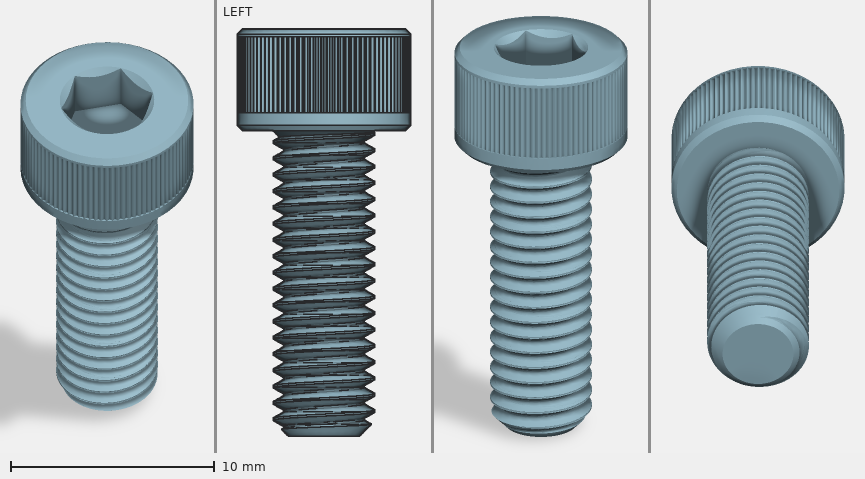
import cadquery as cq
import math

total_length = 20.0
head_height = 5.0
head_diameter = 8.5
thread_diameter = 5.0
shank_length = total_length - head_height
head_radius = head_diameter / 2
thread_radius = thread_diameter / 2

head_chamfer = 0.25
knurl_top_margin = 0.4
knurl_bottom_margin = 0.88
knurl_count = 96
knurl_groove_width = 0.25
knurl_groove_angle = 90.0

hex_across_flats = 4.0
hex_across_corners = hex_across_flats / math.cos(math.radians(30))
socket_depth = 2.5
socket_mouth_diameter = 4.65
socket_mouth_slope = 45.0

thread_pitch = 0.8
thread_flat = thread_pitch / 8
flank_half_angle = math.radians(30)
flank_height = thread_pitch / 2 - thread_flat
thread_depth = flank_height / math.tan(flank_half_angle)
root_radius = thread_radius - thread_depth
crest_angle_at_tip = 72.0
flank_points = 8
thread_layers = 25
tip_chamfer = 0.75

neck_height = thread_depth


def polar_point(radius, angle):
    return (radius * math.cos(angle), radius * math.sin(angle))


def make_knurled_band():
    """Middle of the head: its circle notched by evenly spaced V grooves with narrow lands between."""
    half_width = knurl_groove_width / 2
    lip_angle = math.asin(half_width / head_radius)
    groove_depth = half_width / math.tan(math.radians(knurl_groove_angle / 2))
    valley_radius = head_radius * math.cos(lip_angle) - groove_depth
    step = 2 * math.pi / knurl_count

    outline = (
        cq.Workplane("XY")
        .workplane(offset=shank_length + knurl_bottom_margin)
        .moveTo(*polar_point(head_radius, -lip_angle))
    )
    for groove in range(knurl_count):
        angle = groove * step
        outline = (
            outline.lineTo(*polar_point(valley_radius, angle))
            .lineTo(*polar_point(head_radius, angle + lip_angle))
            .threePointArc(
                polar_point(head_radius, angle + step / 2),
                polar_point(head_radius, angle + step - lip_angle),
            )
        )
    return outline.close().extrude(head_height - knurl_top_margin - knurl_bottom_margin)


def make_head():
    """Plain chamfered discs below and above the knurled band."""
    lower_rim = (
        cq.Workplane("XY")
        .workplane(offset=shank_length)
        .circle(head_radius)
        .extrude(knurl_bottom_margin)
        .faces("<Z")
        .chamfer(head_chamfer)
    )
    upper_rim = (
        cq.Workplane("XY")
        .workplane(offset=total_length - knurl_top_margin)
        .circle(head_radius)
        .extrude(knurl_top_margin)
        .faces(">Z")
        .chamfer(head_chamfer)
    )
    return lower_rim.union(make_knurled_band()).union(upper_rim)


def make_socket():
    hexagon = (
        cq.Workplane("XY")
        .workplane(offset=total_length - socket_depth)
        .transformed(rotate=(0, 0, 30))
        .polygon(6, hex_across_corners)
        .extrude(socket_depth)
    )
    mouth_radius = socket_mouth_diameter / 2
    mouth_depth = mouth_radius * math.tan(math.radians(socket_mouth_slope))
    mouth = cq.Workplane("XY").add(
        cq.Solid.makeCone(mouth_radius, 0, mouth_depth, cq.Vector(0, 0, total_length), cq.Vector(0, 0, -1))
    )
    return hexagon.union(mouth)


def make_thread():
    """Single-start right-hand thread, made of stacked layers of its cross-section twisted up the Z axis.

    Going once round the cross-section is the same as going one pitch along the shank, so each flat
    becomes an arc and each straight flank becomes a spiral whose radius changes evenly with angle.
    """
    half_flat = math.pi * thread_flat / thread_pitch
    half_turn = math.pi

    def falling_flank(t):
        angle = half_flat + (half_turn - 2 * half_flat) * t
        return (*polar_point(thread_radius - thread_depth * t, angle), 0)

    def rising_flank(t):
        angle = half_turn + half_flat + (half_turn - 2 * half_flat) * t
        return (*polar_point(root_radius + thread_depth * t, angle), 0)

    section = (
        cq.Workplane("XY")
        .transformed(rotate=(0, 0, crest_angle_at_tip))
        .moveTo(*polar_point(thread_radius, -half_flat))
        .threePointArc((thread_radius, 0), polar_point(thread_radius, half_flat))
        .parametricCurve(falling_flank, N=flank_points, makeWire=False)
        .moveTo(*polar_point(root_radius, half_turn - half_flat))
        .threePointArc((-root_radius, 0), polar_point(root_radius, half_turn + half_flat))
        .parametricCurve(rising_flank, N=flank_points, makeWire=False)
        .wire()
    )
    layer_height = shank_length / thread_layers
    layer_twist = 360 * layer_height / thread_pitch
    layer = section.twistExtrude(layer_height, layer_twist).val()
    layers = [
        layer.rotate(cq.Vector(0, 0, 0), cq.Vector(0, 0, 1), i * layer_twist)
        .translate(cq.Vector(0, 0, i * layer_height))
        for i in range(thread_layers)
    ]
    return cq.Workplane("XY").add(layers[0].fuse(*layers[1:]))


def make_tip_cutter():
    """Block with a 45 degree conical hollow that bevels the tip of the shank."""
    height = 2 * tip_chamfer
    tip_radius = thread_radius - tip_chamfer
    block = cq.Workplane("XY").circle(2 * thread_radius).extrude(height)
    hollow = cq.Solid.makeCone(tip_radius, tip_radius + height, height)
    return block.cut(cq.Workplane("XY").add(hollow))


def make_neck():
    return cq.Workplane("XY").add(
        cq.Solid.makeCone(root_radius, thread_radius, neck_height, cq.Vector(0, 0, shank_length - neck_height))
    )


head = make_head().cut(make_socket())
shank = make_thread().cut(make_tip_cutter()).union(make_neck())
result = head.union(shank)